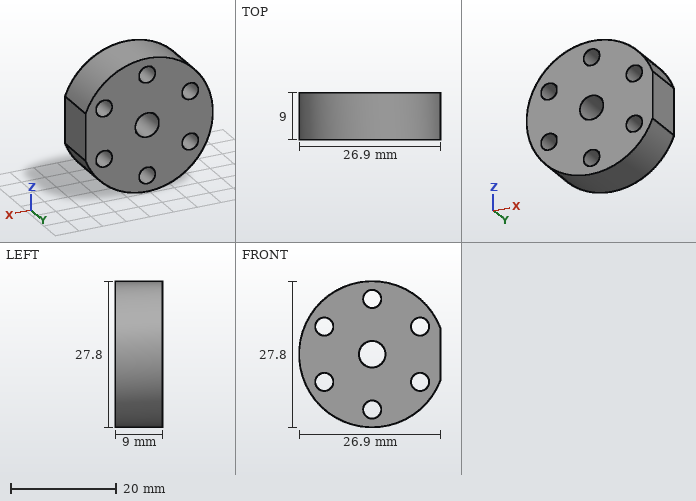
import cadquery as cq

disc_diameter = 27.8
thickness = 9.0
flat_distance = 13.0
bore_diameter = 5.0
bolt_hole_diameter = 3.4
bolt_circle_radius = 10.5
bolt_hole_count = 6
first_bolt_angle = 90.0

disc_radius = disc_diameter / 2


def flatted_disc():
    """Disc along Y, centred on the origin, cut by a flat on its +X side."""
    disc = cq.Workplane("XZ").circle(disc_radius).extrude(thickness / 2, both=True)
    kept_width = disc_radius + flat_distance
    kept_block = (
        cq.Workplane("XY")
        .box(kept_width, thickness, disc_diameter)
        .translate((flat_distance - kept_width / 2, 0, 0))
    )
    return disc.intersect(kept_block)


def centre_bore():
    """Cutter for the through bore on the disc axis."""
    return cq.Workplane("XZ").circle(bore_diameter / 2).extrude(thickness, both=True)


def bolt_holes():
    """Cutters for the ring of through bolt holes."""
    return (
        cq.Workplane("XZ")
        .polarArray(bolt_circle_radius, first_bolt_angle, 360, bolt_hole_count)
        .circle(bolt_hole_diameter / 2)
        .extrude(thickness, both=True)
    )


result = flatted_disc().cut(centre_bore()).cut(bolt_holes())